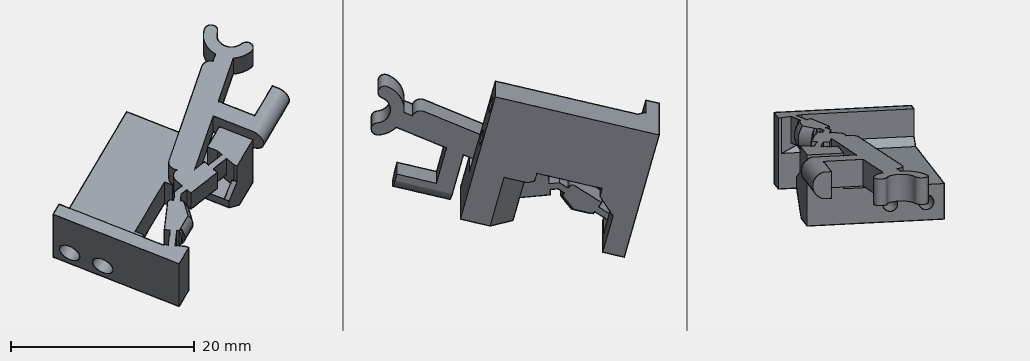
import cadquery as cq
import math

LENGTH = 30.35
BASE_WIDTH = 15.23
BASE_LENGTH = 18.42
BASE_HEIGHT = 4.0
TOP = 8.0
LAYER = 3.0
LAYER_BOTTOM = TOP - LAYER
LAYER_MIDDLE = TOP - LAYER / 2

CHAIN_TILT = 20.2
FOOT_X = 13.4
HINGE_Y = 8.45
HINGE = 0.73
KNEE = 1.0
LINK = 4.0
LEG = 2.0
CHAIN = KNEE + LINK + LEG
TILT_SIN = math.sin(math.radians(CHAIN_TILT))
TILT_COS = math.cos(math.radians(CHAIN_TILT))
KNEE_X = FOOT_X - CHAIN * TILT_SIN
LINK_END = KNEE + LINK
LINK_HALF = 1.0

SHOULDER_REACH = 2.3
SHOULDER_LENGTH = 2.12
LARGE_CORNER = 1.0

LATCH_KNEE_HALF = 0.73
LATCH_PEAK_HALF = 1.4
LATCH_FOOT_HALF = 0.65
LATCH_PEAK = 1.9
SMALL_CORNER = 0.35
RIDGE = 0.52
RIDGE_STEP = 0.27
RIDGE_INSET = 0.35

WALL = 1.52
ANCHOR = 2.43
BLOCK_X = 11.2
BLOCK_FRONT = 2 * HINGE_Y - WALL
REAR_ANCHOR_Y = 2 * HINGE_Y - ANCHOR
GUSSET_X = 14.62
GUSSET_HEIGHT = 1.05

WINDOW_X = 7.8
WINDOW_FRONT = 4.4
WINDOW_REAR = 11.75
WINDOW_CORNER_X = 8.77
WINDOW_SIDE_REAR = 12.5
SIDE_REAR_X = 9.15
UNDERCUT_HEIGHT = 2.73
UNDERCUT_DEPTH = 2.58

ARM_TILT = 10.0
ARM_CORNER = (8.4, 11.0)
ARM_WIDTH = 3.0
ARM_LENGTH = 15.02
ARM_ROUND = 0.97
NECK_WIDTH = 2.0
NECK_LENGTH = 2.12

HOOK_X = 7.07
HOOK_OUTER = 3.05
HOOK_INNER = 1.58
HOOK_LEFT = 190.0
HOOK_RIGHT = 340.0

FINGER_Y = 19.42
FINGER_BAR = 2.0
FINGER_LENGTH = 6.43
FINGER_X = 14.02
FINGER_TIP = 16.08
FINGER_ROUND = 1.25
FINGER_ROOT = 9.1

HOLE_XS = (2.0, 6.0)
HOLE_Z = 2.0
HOLE = 1.65
COUNTERBORE = 2.45
COUNTERBORE_DEPTH = 6.07


def turned(points, angle, origin):
    """Rotate local points by an angle in degrees and place them at origin."""
    c = math.cos(math.radians(angle))
    s = math.sin(math.radians(angle))
    return [(origin[0] + x * c - y * s, origin[1] + x * s + y * c) for x, y in points]


def rectangle(x0, x1, y0, y1):
    return [(x0, y0), (x1, y0), (x1, y1), (x0, y1)]


def prism(points, bottom, top):
    return cq.Workplane("XY").workplane(offset=bottom).polyline(points).close().extrude(top - bottom)


def layer(points):
    return prism(points, LAYER_BOTTOM, TOP)


def side_prism(points, x0, x1):
    """Extrude a (y, z) outline from x0 to x1."""
    return cq.Workplane("YZ").workplane(offset=x0).polyline(points).close().extrude(x1 - x0)


def round_corner(body, point, radius):
    """Round the upright edge of a mechanism piece that stands at point."""
    nearest = cq.selectors.NearestToPointSelector((point[0], point[1], LAYER_MIDDLE))
    return body.edges(nearest).fillet(radius)


def on_rear_half(points):
    """Local y runs along the rear half of the chain, away from the knee."""
    return turned(points, -CHAIN_TILT, (KNEE_X, HINGE_Y))


def on_front_half(points):
    """Local y runs along the front half of the chain, local -x is the latch side."""
    return turned(points, 180 + CHAIN_TILT, (KNEE_X, HINGE_Y))


def base():
    profile = [(0, 0), (BASE_LENGTH, 0), (BASE_LENGTH, BASE_HEIGHT), (ANCHOR, BASE_HEIGHT),
               (WALL, BASE_HEIGHT + ANCHOR - WALL), (WALL, TOP), (0, TOP)]
    return side_prism(profile, 0, BASE_WIDTH)


def window():
    front_chamfer = WINDOW_FRONT - ANCHOR
    outline = [(WINDOW_X, WINDOW_FRONT), (WINDOW_CORNER_X, WINDOW_FRONT),
               (WINDOW_CORNER_X + front_chamfer, ANCHOR), (BASE_WIDTH, ANCHOR),
               (BASE_WIDTH, WINDOW_SIDE_REAR), (SIDE_REAR_X, WINDOW_SIDE_REAR),
               (WINDOW_CORNER_X, WINDOW_REAR), (WINDOW_X, WINDOW_REAR)]
    undercut = [(WINDOW_SIDE_REAR, 0), (WINDOW_SIDE_REAR + UNDERCUT_DEPTH, 0),
                (WINDOW_SIDE_REAR, UNDERCUT_HEIGHT)]
    opening = prism(outline, 0, BASE_HEIGHT)
    return opening.union(side_prism(undercut, SIDE_REAR_X, BASE_WIDTH))


def mounting_holes():
    centers = cq.Workplane("XZ").pushPoints([(x, HOLE_Z) for x in HOLE_XS])
    bores = centers.circle(HOLE / 2).extrude(-BASE_LENGTH)
    return bores.union(centers.circle(COUNTERBORE / 2).extrude(-COUNTERBORE_DEPTH))


def anchor(side, outer_y):
    """Stand for one end of the chain, its face square to the hinge; side is -1 in front, 1 at the rear."""
    foot = CHAIN * TILT_COS
    wall_y = HINGE_Y - WALL
    near_y = HINGE_Y - ANCHOR
    wall_x = FOOT_X - (wall_y - foot) * TILT_COS / TILT_SIN
    near_x = FOOT_X + (foot - near_y) * TILT_COS / TILT_SIN
    outline = [(wall_x, HINGE_Y + side * wall_y), (near_x, HINGE_Y + side * near_y),
               (BASE_WIDTH, HINGE_Y + side * near_y), (BASE_WIDTH, outer_y), (wall_x, outer_y)]
    return prism(outline, BASE_HEIGHT, TOP)


def rear_block():
    block = prism(rectangle(BLOCK_X, BASE_WIDTH, BLOCK_FRONT, BASE_LENGTH), BASE_HEIGHT, TOP)
    gusset = [(WINDOW_SIDE_REAR, BASE_HEIGHT), (REAR_ANCHOR_Y, BASE_HEIGHT),
              (REAR_ANCHOR_Y, BASE_HEIGHT + GUSSET_HEIGHT)]
    return block.union(side_prism(gusset, GUSSET_X, BASE_WIDTH))


def hinges():
    """One thin bent strip from the front anchor through the knee to the rear anchor."""
    half = HINGE / 2
    bend = half / TILT_COS
    reach = CHAIN + half
    front_right, front_left = on_front_half([(-half, reach), (half, reach)])
    rear_left, rear_right = on_rear_half([(-half, reach), (half, reach)])
    return layer([front_left, front_right, (KNEE_X + bend, HINGE_Y),
                  rear_right, rear_left, (KNEE_X - bend, HINGE_Y)])


def rear_link():
    link = layer(on_rear_half(rectangle(-LINK_HALF, LINK_HALF, KNEE, LINK_END)))
    outline = on_rear_half(rectangle(-SHOULDER_REACH, LINK_HALF, KNEE, KNEE + SHOULDER_LENGTH))
    shoulder = round_corner(layer(outline), outline[0], LARGE_CORNER)
    return link.union(shoulder)


def ridge(path, height, inset):
    """Rounded ridge along the bent latch side, shortened by inset at both ends."""
    start, peak, end = path

    def moved_in(point):
        share = inset / math.dist(point, peak)
        return (point[0] + (peak[0] - point[0]) * share, point[1] + (peak[1] - point[1]) * share)

    start = moved_in(start)
    end = moved_in(end)
    spine = cq.Workplane("XY").workplane(offset=LAYER_MIDDLE).polyline([start, peak, end])
    along = (peak[0] - start[0], peak[1] - start[1], 0)
    outward = (-along[1], along[0], 0)
    plane = cq.Plane(origin=(start[0], start[1], LAYER_MIDDLE), xDir=outward, normal=along)
    half = LAYER / 2
    profile = cq.Workplane(plane).moveTo(0, -half).threePointArc((height, 0), (0, half)).close()
    return profile.sweep(spine, transition="right")


def front_link():
    outline = on_front_half([(LINK_HALF, KNEE), (LINK_HALF, LINK_END), (-LATCH_FOOT_HALF, LINK_END),
                             (-LATCH_PEAK_HALF, KNEE + LATCH_PEAK), (-LATCH_KNEE_HALF, KNEE)])
    link = round_corner(layer(outline), outline[0], SMALL_CORNER)
    latch_side = outline[:1:-1]
    low_ridge = ridge(latch_side, RIDGE_STEP, 0)
    tall_ridge = ridge(latch_side, RIDGE, RIDGE_INSET)
    return link.union(low_ridge).union(tall_ridge)


def arm():
    outline = turned(rectangle(0, ARM_WIDTH, 0, ARM_LENGTH), ARM_TILT, ARM_CORNER)
    bar = layer(outline)
    for corner in (outline[0], outline[3]):
        bar = round_corner(bar, corner, ARM_ROUND)
    neck = rectangle(ARM_WIDTH - NECK_WIDTH, ARM_WIDTH, ARM_LENGTH - NECK_WIDTH, ARM_LENGTH + NECK_LENGTH)
    return bar.union(layer(turned(neck, ARM_TILT, ARM_CORNER)))


def hook():
    """C-shaped hook of constant thickness with two rounded tips."""
    tip = (HOOK_OUTER - HOOK_INNER) / 2
    middle = (HOOK_OUTER + HOOK_INNER) / 2
    center_y = LENGTH - tip - middle * math.sin(math.radians(HOOK_LEFT))
    bottom = (HOOK_LEFT + HOOK_RIGHT) / 2

    def at(radius, angle, beyond=0):
        return turned([(radius, beyond)], angle, (HOOK_X, center_y))[0]

    return (cq.Workplane("XY").workplane(offset=LAYER_BOTTOM)
            .moveTo(*at(HOOK_OUTER, HOOK_LEFT))
            .threePointArc(at(HOOK_OUTER, bottom), at(HOOK_OUTER, HOOK_RIGHT))
            .threePointArc(at(middle, HOOK_RIGHT, tip), at(HOOK_INNER, HOOK_RIGHT))
            .threePointArc(at(HOOK_INNER, bottom), at(HOOK_INNER, HOOK_LEFT))
            .threePointArc(at(middle, HOOK_LEFT, -tip), at(HOOK_OUTER, HOOK_LEFT))
            .close().extrude(LAYER))


def finger():
    """Bar out of the arm that carries a finger with a rounded outer side."""
    flat_end = FINGER_TIP - FINGER_ROUND
    bar = layer(rectangle(FINGER_ROOT, flat_end, FINGER_Y, FINGER_Y + FINGER_BAR))
    tip = (cq.Workplane("XZ", origin=(0, FINGER_Y, 0))
           .moveTo(FINGER_X, LAYER_BOTTOM).lineTo(flat_end, LAYER_BOTTOM)
           .threePointArc((FINGER_TIP, LAYER_MIDDLE), (flat_end, TOP))
           .lineTo(FINGER_X, TOP).close().extrude(-FINGER_LENGTH))
    return bar.union(tip)


result = base().cut(window()).cut(mounting_holes())
pieces = [anchor(-1, 0), anchor(1, BASE_LENGTH), rear_block(), hinges(), rear_link(),
          front_link(), arm(), hook(), finger()]
for piece in pieces:
    result = result.union(piece)